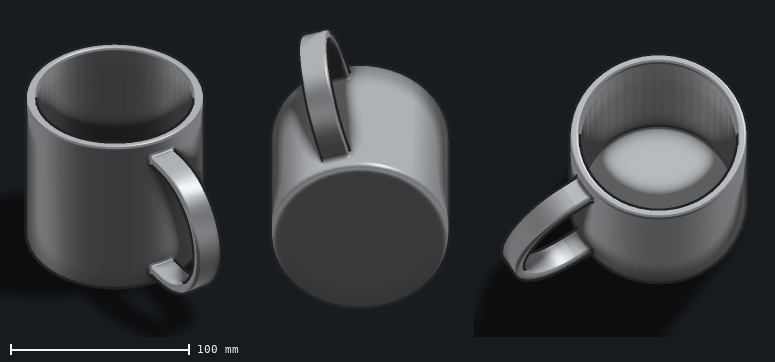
import cadquery as cq

cup_diameter = 100.0
cup_radius = cup_diameter / 2
cup_height = cup_diameter
bore_diameter = 88.0
wall = (cup_diameter - bore_diameter) / 2
floor_thickness = wall
base_fillet = 5.0
edge_fillet = 2.0

overall_length = 151.0
handle_outer_radius = 41.0
handle_thickness = 6.0
handle_inner_radius = handle_outer_radius - handle_thickness
handle_width = 16.0
handle_tip_x = overall_length - cup_radius
handle_centre_x = handle_tip_x - handle_outer_radius
handle_centre_z = cup_height / 2
arm_start_x = cup_radius - wall / 2


def make_cup_blank():
    """Solid cylinder with a rounded base, centred on the Z axis."""
    blank = cq.Workplane("XY").circle(cup_radius).extrude(cup_height)
    return blank.faces("<Z").edges().fillet(base_fillet)


def make_cavity():
    """Drinking cavity with a rounded floor corner."""
    cavity = (
        cq.Workplane("XY")
        .workplane(offset=floor_thickness)
        .circle(bore_diameter / 2)
        .extrude(cup_height - floor_thickness)
    )
    return cavity.faces("<Z").edges().fillet(edge_fillet)


def make_d_shape(radius):
    """D-shaped plate across the handle width: half disc plus straight arms."""
    top_z = handle_centre_z + radius
    bottom_z = handle_centre_z - radius
    return (
        cq.Workplane("XZ")
        .moveTo(arm_start_x, top_z)
        .lineTo(handle_centre_x, top_z)
        .threePointArc(
            (handle_centre_x + radius, handle_centre_z),
            (handle_centre_x, bottom_z),
        )
        .lineTo(arm_start_x, bottom_z)
        .close()
        .extrude(handle_width / 2, both=True)
    )


def make_handle():
    """Rectangular-section handle with its long edges rounded."""
    handle = make_d_shape(handle_outer_radius).cut(make_d_shape(handle_inner_radius))
    return handle.faces("<Y or >Y").edges("not(<X)").fillet(edge_fillet)


def fillet_handle_roots(mug):
    """Blend both handle arms into the outer wall of the cup."""
    margin = 0.3
    half_width = handle_width / 2 + margin
    half_height = handle_outer_radius + margin
    root_box = cq.selectors.BoxSelector(
        (arm_start_x, -half_width, handle_centre_z - half_height),
        (cup_radius + margin, half_width, handle_centre_z + half_height),
        boundingbox=True,
    )
    return mug.edges(root_box).fillet(edge_fillet)


mug = make_cup_blank().union(make_handle())
mug = fillet_handle_roots(mug)
mug = mug.cut(make_cavity())
result = mug.faces(">Z").edges().fillet(edge_fillet)